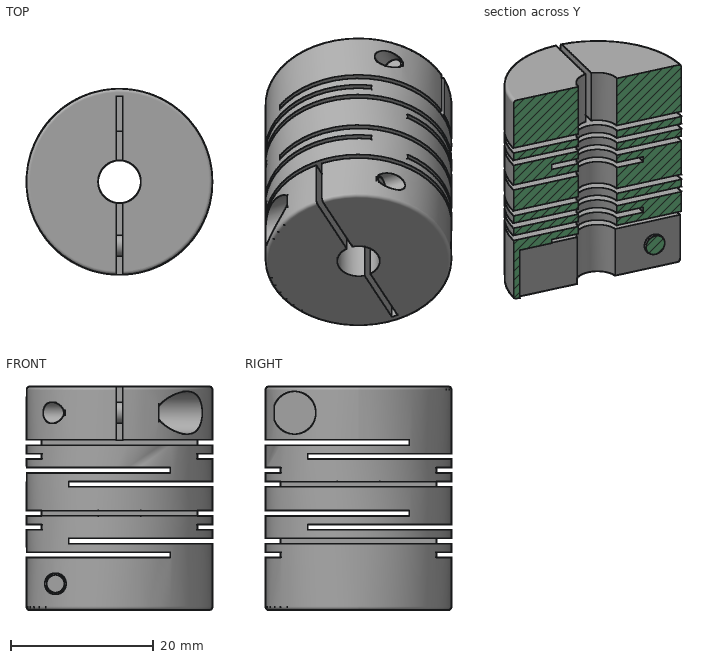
import cadquery as cq

length = 31.5
outer_diameter = 26.2
bore_diameter = 6.0
rim_fillet = 0.5

slit_height = 0.72
slit_pitch = 1.95
slit_end_offset = 7.12
slit_stack_middle = 15.7
first_slit_offset = 2.05
upper_open_angles = (0, 180, 90, -90)
lower_open_angles = (-90, 90, 0, 180)

slot_width = 0.88
slot_end_offset = 12.05
slot_depth = 7.55

screw_diameter = 3.0
screw_axis_offset = 9.0
screw_axis_depth = 3.72
screw_tip_offset = 7.88
screw_tip_chamfer = 0.25
head_bore_diameter = 6.02
head_bore_floor = 5.5


def make_body():
    """Bored cylinder with rounded outer rims."""
    cylinder = cq.Workplane("XY").circle(outer_diameter / 2).extrude(length)
    rounded = cylinder.faces("<Z or >Z").edges().fillet(rim_fillet)
    return rounded.faces(">Z").workplane().hole(bore_diameter)


def make_slit(height, open_angle):
    """Flat cut at a height, open towards an angle about Z."""
    slit_length = slit_end_offset + outer_diameter
    return (
        cq.Workplane("XY")
        .box(slit_length, 2 * outer_diameter, slit_height)
        .translate((slit_length / 2 - slit_end_offset, 0, height))
        .rotate((0, 0, 0), (0, 0, 1), open_angle)
    )


def x_cylinder(diameter, start, end):
    """Cylinder on the upper hub's screw axis, from one X position to another."""
    return (
        cq.Workplane("YZ", origin=(start, -screw_axis_offset, length - screw_axis_depth))
        .circle(diameter / 2)
        .extrude(end - start)
    )


def to_lower_hub(shape):
    """Half turn about the mid-height diagonal X = Y, which carries the upper hub onto the lower one."""
    middle_height = length / 2
    return shape.rotate((0, 0, middle_height), (0.3, 0.3, middle_height), 180)


def make_hub_cut():
    """Slot, screw hole and head bore of the upper hub; the slot opens to -Y."""
    slot_length = slot_end_offset + outer_diameter
    slot = (
        cq.Workplane("XY")
        .box(slot_width, slot_length, slot_depth, centered=(True, False, False))
        .translate((0, -outer_diameter, length - slot_depth))
    )
    screw_hole = x_cylinder(screw_diameter, -outer_diameter, head_bore_floor)
    head_bore = x_cylinder(head_bore_diameter, head_bore_floor, outer_diameter)
    return slot.union(screw_hole).union(head_bore)


def make_screw():
    """Shank of the upper hub's screw, chamfered at its tip and flush with the head bore floor."""
    shank = x_cylinder(screw_diameter, -screw_tip_offset, head_bore_floor)
    return shank.faces("<X").chamfer(screw_tip_chamfer)


result = make_body()

for index, (upper_angle, lower_angle) in enumerate(zip(upper_open_angles, lower_open_angles)):
    offset = first_slit_offset + index * slit_pitch
    result = result.cut(make_slit(slit_stack_middle + offset, upper_angle))
    result = result.cut(make_slit(slit_stack_middle - offset, lower_angle))

hub_cut = make_hub_cut()
result = result.cut(hub_cut).cut(to_lower_hub(hub_cut))

screw = make_screw()
result = result.union(screw).union(to_lower_hub(screw))